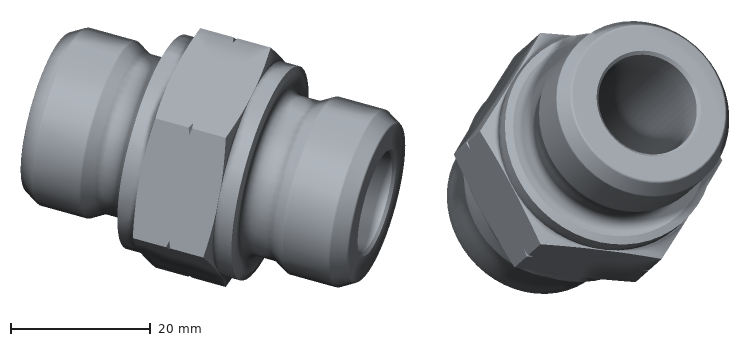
import cadquery as cq
import math

length = 50.0
middle = length / 2
thread_radius = 26.4 / 2
neck_radius = 23.8 / 2
bore_radius = 15.0 / 2
bore_chamfer = 0.45

end_slope = math.radians(30)
lead_in_length = 2.4
thread_end = 9.6
end_round = 0.4
thread_round = 0.5
neck_round = 1.3

collar_radius = 31.8 / 2
ridge_radius = 14.75
ridge_x = 16.0
collar_cone_length = 0.3
undercut_slope = math.radians(7)
undercut_round = 1.15

hex_flats = 32.0
hex_width = 12.0
hex_chamfer_slope = math.radians(15)
hex_face_radius = 16.15
groove_depth = 0.5
groove_half_width = 0.3

hex_corner_radius = hex_flats / 2 / math.cos(math.radians(30))
X_AXIS = ((0, 0, 0), (1, 0, 0))


def revolve_x(profile):
    """Revolve a closed (x, radius) profile about the X axis."""
    return profile.close().revolve(360, *X_AXIS)


def add_rounded_corner(profile, before, corner, after, radius):
    """Draw a line to the corner and a tangent arc around it."""
    corner = cq.Vector(*corner)
    back = (cq.Vector(*before) - corner).normalized()
    ahead = (cq.Vector(*after) - corner).normalized()
    half_angle = back.getAngle(ahead) / 2
    tangent_length = radius / math.tan(half_angle)
    bisector = (back + ahead).normalized()
    arc_middle = corner + bisector * (radius / math.sin(half_angle) - radius)
    arc_start = corner + back * tangent_length
    arc_end = corner + ahead * tangent_length
    profile = profile.lineTo(arc_start.x, arc_start.y)
    return profile.threePointArc((arc_middle.x, arc_middle.y), (arc_end.x, arc_end.y))


def make_stud_half():
    """One threaded end with its neck and collar, up to the middle of the part."""
    end_radius = thread_radius - lead_in_length * math.tan(end_slope)
    neck_start = thread_end + (thread_radius - neck_radius) / math.tan(end_slope)
    neck_end = ridge_x + (ridge_radius - neck_radius) * math.tan(undercut_slope)
    corners = [
        (0, 0, 0),
        (0, end_radius, end_round),
        (lead_in_length, thread_radius, thread_round),
        (thread_end, thread_radius, thread_round),
        (neck_start, neck_radius, neck_round),
        (neck_end, neck_radius, undercut_round),
        (ridge_x, ridge_radius, 0),
        (ridge_x + collar_cone_length, collar_radius, 0),
        (middle, collar_radius, 0),
        (middle, 0, 0),
    ]
    profile = cq.Workplane("XY").moveTo(0, 0)
    for index in range(1, len(corners)):
        x, radius, rounding = corners[index]
        if rounding:
            before = corners[index - 1][:2]
            after = corners[index + 1][:2]
            profile = add_rounded_corner(profile, before, (x, radius), after, rounding)
        else:
            profile = profile.lineTo(x, radius)
    return revolve_x(profile)


def make_hexagon():
    """Hexagon with flats on top and bottom, conical corners and a V groove across the corners."""
    start = middle - hex_width / 2
    end = middle + hex_width / 2
    prism = (
        cq.Workplane("YZ", origin=(start, 0, 0))
        .polygon(6, 2 * hex_corner_radius)
        .extrude(hex_width)
    )
    chamfer_length = (hex_corner_radius - hex_face_radius) * math.tan(hex_chamfer_slope)
    envelope = revolve_x(
        cq.Workplane("XY").polyline([
            (start, 0),
            (start, hex_face_radius),
            (start + chamfer_length, hex_corner_radius),
            (middle - groove_half_width, hex_corner_radius),
            (middle, hex_corner_radius - groove_depth),
            (middle + groove_half_width, hex_corner_radius),
            (end - chamfer_length, hex_corner_radius),
            (end, hex_face_radius),
            (end, 0),
        ])
    )
    return prism.intersect(envelope)


def make_bore():
    """Through bore with a 45 degree chamfer at both mouths."""
    mouth_radius = bore_radius + bore_chamfer
    return revolve_x(
        cq.Workplane("XY").polyline([
            (0, 0),
            (0, mouth_radius),
            (bore_chamfer, bore_radius),
            (length - bore_chamfer, bore_radius),
            (length, mouth_radius),
            (length, 0),
        ])
    )


stud_half = make_stud_half()
other_half = stud_half.mirror("YZ", (middle, 0, 0))
result = stud_half.union(other_half).union(make_hexagon()).cut(make_bore())
result = result.translate((-middle, 0, 0))